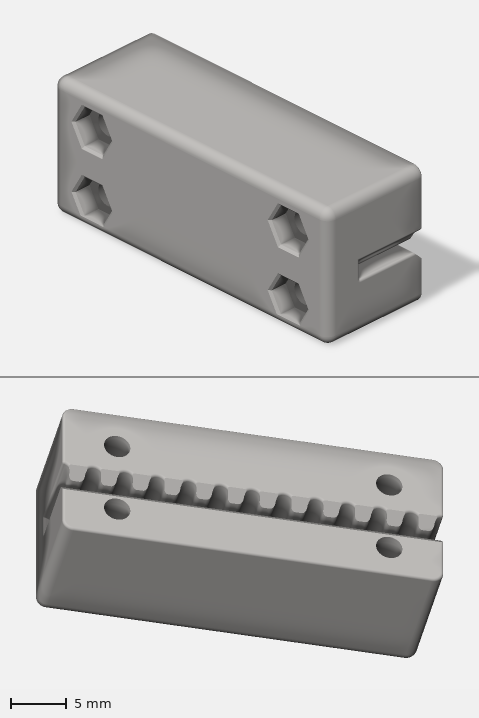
import cadquery as cq
import math

length = 35.0
depth = 12.0
height = 14.0
main_radius = 1.0
small_radius = 0.25
x_end = length / 2
y_back = depth / 2
y_front = -depth / 2

hole_diameter = 2.4
hole_inset = 5.0
hole_heights = (-4.0, 3.25)
nut_flats = 4.05
nut_depth = 2.0
nut_chamfer = 0.25

slot_floor = -1.5
slot_depth = 7.98
inner_rounding = 0.18
mouth_chamfer = 1.0
groove_axis = -0.18
groove_radius = 0.75
crest_radius = 0.42
groove_spaces = 12
groove_pitch = length / groove_spaces
slot_roof = groove_axis - crest_radius
y_inner = y_back - slot_depth


def make_block():
    """Box with large front and corner roundings and a finely rounded back."""
    block = cq.Workplane("XY").box(length, depth, height)
    block = block.edges("|Y or <Y").fillet(main_radius)
    return block.faces(">Y").edges().fillet(small_radius)


def corner_diameter(flats):
    """Diameter of the circle through the corners of a hexagon."""
    return flats / math.cos(math.pi / 6)


def make_nut_hole(x, z):
    """Through hole with a chamfered nut pocket that stops where the front rounding begins."""
    hole = cq.Workplane("XZ", origin=(0, y_back, 0)).circle(hole_diameter / 2).extrude(depth)
    pocket = (
        cq.Workplane("XZ", origin=(0, y_front + nut_depth, 0))
        .polygon(6, corner_diameter(nut_flats))
        .extrude(nut_depth)
    )
    flare = (
        cq.Workplane("XZ", origin=(0, y_front + nut_chamfer, 0))
        .polygon(6, corner_diameter(nut_flats))
        .workplane(offset=nut_chamfer)
        .polygon(6, corner_diameter(nut_flats + 2 * nut_chamfer))
        .loft(ruled=True)
    )
    flat_band = cq.Workplane("XY").box(length, depth, height - 2 * main_radius)
    nut_pocket = pocket.union(flare).translate((x, 0, z)).intersect(flat_band)
    return nut_pocket.union(hole.translate((x, 0, z)))


def make_slot():
    """Slot with a flat floor and a roof of round tooth grooves joined by rounded crests."""
    half_groove = groove_radius + crest_radius
    crest_offset = crest_radius * math.sqrt(0.5)
    groove_top = groove_axis + groove_radius
    x_start = -x_end - groove_pitch
    profile = cq.Workplane("XZ", origin=(0, y_back, 0)).moveTo(x_start, slot_floor)
    profile = profile.lineTo(x_start, slot_roof)
    for index in range(groove_spaces + 1):
        x = index * groove_pitch - x_end
        profile = (
            profile.lineTo(x - half_groove, slot_roof)
            .threePointArc(
                (x - half_groove + crest_offset, groove_axis - crest_offset),
                (x - groove_radius, groove_axis),
            )
            .threePointArc((x, groove_top), (x + groove_radius, groove_axis))
            .threePointArc(
                (x + half_groove - crest_offset, groove_axis - crest_offset),
                (x + half_groove, slot_roof),
            )
        )
    profile = profile.lineTo(-x_start, slot_roof).lineTo(-x_start, slot_floor).close()
    slot = profile.extrude(slot_depth)
    return slot.edges("|X and <Y and <Z").fillet(inner_rounding)


def make_mouth():
    """Wedge that opens the slot at 45 degrees towards the back face."""
    return (
        cq.Workplane("YZ", origin=(-x_end, 0, 0))
        .moveTo(y_back - mouth_chamfer, slot_floor)
        .lineTo(y_back, slot_floor - mouth_chamfer)
        .lineTo(y_back, slot_roof + mouth_chamfer)
        .lineTo(y_back - mouth_chamfer, slot_roof)
        .close()
        .extrude(length)
    )


def round_slot_openings(body):
    """Round the slot edges on both end faces."""
    around_slot = cq.selectors.BoxSelector(
        (-length, y_inner - small_radius, slot_floor - small_radius),
        (length, y_back - small_radius, groove_axis + groove_radius + small_radius),
    )
    return body.faces("<X or >X").edges(around_slot).fillet(small_radius)


result = make_block().cut(make_slot())
result = round_slot_openings(result)
result = result.cut(make_mouth())
for hole_x in (hole_inset - x_end, x_end - hole_inset):
    for hole_z in hole_heights:
        result = result.cut(make_nut_hole(hole_x, hole_z))